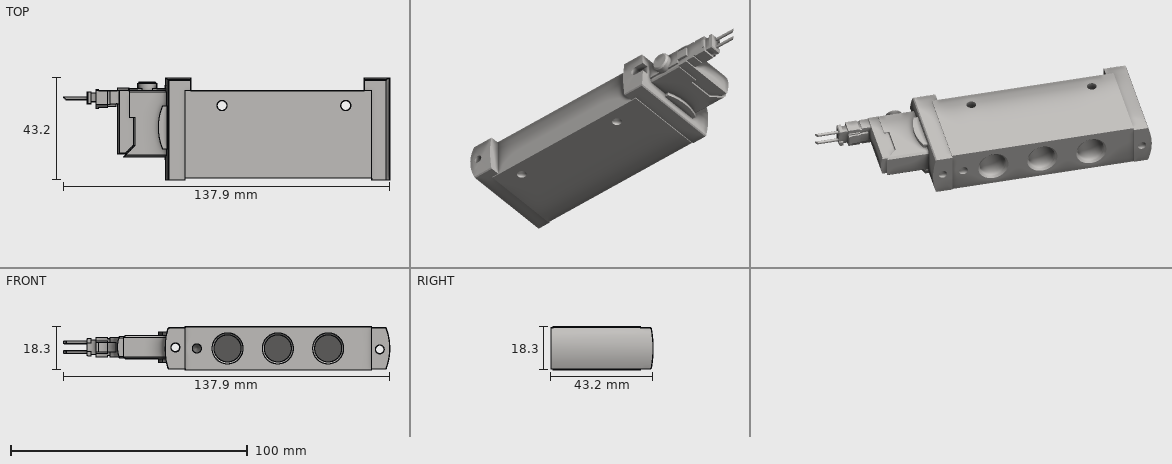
import cadquery as cq

total_length = 137.9
total_depth = 43.2

body_start = 51.5
body_end = 130.2
body_front = 0.8
body_back = 37.8
body_height = 18.3
port_diameter = 11.5
port_chamfer = 0.8
port_depth = 16.5
port_pitch = 21.2
middle_port_x = 90.6
mounting_hole_diameter = 4.1
mounting_hole_xs = (67.0, 119.3)
mounting_hole_y = 31.5
pilot_port_diameter = 3.9
pilot_port_depth = 5.5
pilot_port_x = 56.4
drill_point_height = 1.1

cap_start = 43.0
cap_height = 17.5
near_cap_bulge = 1.2
far_cap_bulge = 1.7
wing_bulge = 0.8
cap_chamfer = 0.4
wing_length = 10.9
cap_hole_diameter = 3.6
cap_hole_inset = 4.3
cap_hole_offset = 0.4
access_slot_width = 4.1
access_slot_floor = 40.0

pilot_z = 0.5
coil_front = 9.7
coil_height = 9.9
coil_chamfer = 0.8
coil_back_chamfer = 0.5
cover_start = 22.9
cover_front = 10.9
cover_height = 9.1
cover_bulge = 0.8
cover_chamfer = 0.5
cover_step_x = 28.0
cover_step_y = 26.3
cover_tongue_x = 30.2
cover_tongue_y = 14.5
tab_thickness = 1.5
tab_width = 18.2
tab_start = 40.1
tab_shoulder = 41.9
upper_tab_front = 13.1
lower_tab_front = 9.7
back_plate_start = 27.9
back_plate_height = 6.9
back_plate_thickness = 0.8
bump_end = 27.7
bump_height = 4.1
bump_thickness = 1.1
knob_diameter = 8.1
knob_x = 35.5
knob_top = 41.4
knob_chamfer = 0.7

wire_diameter = 1.3
wire_pitch = 4.1
wire_y = 34.5
flange_start = 9.9
flange_end = 11.7
flange_front = 32.1
flange_back = 37.2
flange_height = 7.5
flange_notch_height = 3.7
flange_chamfer = 0.4
neck_front = 33.0
neck_back = 36.8
neck_height = 6.2
housing_start = 13.8
housing_end = 18.8
housing_front = 31.9
housing_back = 37.8
housing_height = 8.3
gap_height = 7.2
plug_start = 19.7
shelf_front = 31.3
shelf_height = 5.1
latch_front = 30.6
latch_height = 4.0
latch_tip_x = 22.3
latch_tip_front = 31.0
lip_length = 1.1
lip_front = 30.2
lip_back = 38.2


def box(x0, x1, y0, y1, height, z_middle=pilot_z):
    """Box between two X and two Y values, centred on z_middle."""
    block = cq.Workplane("XY").box(x1 - x0, y1 - y0, height)
    return block.translate(((x0 + x1) / 2, (y0 + y1) / 2, z_middle))


def cylinder_along_y(diameter, x, z, y0, y1):
    """Cylinder parallel to Y, from y0 to y1."""
    disc = cq.Workplane("XZ", origin=(x, y0, z)).circle(diameter / 2)
    return disc.extrude(y0 - y1)


def turned_about_y(x, y, radius_depth_points):
    """Solid of revolution about a line parallel to Y, starting on the axis at (x, y)."""
    half_outline = cq.Workplane("XY", origin=(x, y, 0)).polyline([(0, 0), *radius_depth_points]).close()
    return half_outline.revolve(360, (0, 0), (0, 1))


def crowned_profile(plane, flat, crown, height, bulge):
    """Outline with three straight sides and one side that bulges out to `crown`."""
    shoulder = crown - bulge if crown > flat else crown + bulge
    top = height / 2
    return (
        cq.Workplane(plane)
        .moveTo(flat, -top)
        .lineTo(shoulder, -top)
        .threePointArc((crown, 0), (shoulder, top))
        .lineTo(flat, top)
        .close()
    )


def make_body():
    body = box(body_start, body_end, body_front, body_back, body_height, 0)
    for step in (-1, 0, 1):
        body = body.cut(make_port(middle_port_x + step * port_pitch))
    for x in mounting_hole_xs:
        hole = cq.Workplane("XY").center(x, mounting_hole_y).circle(mounting_hole_diameter / 2)
        body = body.cut(hole.extrude(body_height, both=True))
    return body.cut(make_pilot_port())


def make_port(x):
    """Round blind port with a chamfered mouth."""
    radius = port_diameter / 2
    return turned_about_y(x, body_front, [
        (radius + port_chamfer, 0),
        (radius, port_chamfer),
        (radius, port_depth),
        (0, port_depth),
    ])


def make_pilot_port():
    """Small blind hole ending in a drill point."""
    radius = pilot_port_diameter / 2
    return turned_about_y(pilot_port_x, body_front, [
        (radius, 0),
        (radius, pilot_port_depth),
        (0, pilot_port_depth + drill_point_height),
    ])


def make_end_cap(outer_x, body_face_x, inward, hole_z, bulge, chamfered):
    """End cap with a bulging outer face and a wing that reaches over the body's back."""
    wing_end = outer_x + inward * wing_length
    end_shape = crowned_profile("XZ", wing_end, outer_x, cap_height, bulge)
    back_shape = crowned_profile("YZ", 0, total_depth, cap_height, wing_bulge)
    back_bar = back_shape.extrude(total_length).edges("|X").edges(">Y").chamfer(cap_chamfer)
    end_bar = end_shape.extrude(-total_depth)
    if chamfered:
        outermost = "<X" if inward > 0 else ">X"
        end_bar = end_bar.edges("|Y").edges(outermost).chamfer(cap_chamfer)
    cap = end_bar.intersect(back_bar)
    body_room = box(*sorted((body_face_x, wing_end)), 0, body_back, body_height, 0)
    hole_x = outer_x + inward * cap_hole_inset
    hole = cylinder_along_y(cap_hole_diameter, hole_x, hole_z, 0, total_depth)
    return cap.cut(body_room).cut(hole)


def make_access_slot():
    """Slot in the near wing's back, from the outer face to the cap hole, with a round end."""
    end_x = cap_start + cap_hole_inset
    straight = box(cap_start, end_x, access_slot_floor, total_depth, access_slot_width, cap_hole_offset)
    round_end = cylinder_along_y(access_slot_width, end_x, cap_hole_offset, access_slot_floor, total_depth)
    return straight.union(round_end)


def make_coil():
    coil = box(cover_start, cap_start + near_cap_bulge, coil_front, body_back, coil_height)
    coil = coil.faces("<Y").edges("|X").chamfer(coil_chamfer)
    coil = coil.faces(">Y").edges("|X").chamfer(coil_back_chamfer)
    return coil.cut(cover_outline(coil_front).extrude(coil_height, both=True))


def cover_outline(front):
    """Stepped outline, whose corner beside the tongue is cut at 45 degrees down to `front`."""
    corner_x = cover_tongue_x - (cover_tongue_y - front)
    return (
        cq.Workplane("XY", origin=(0, 0, pilot_z))
        .moveTo(cover_start, front)
        .lineTo(corner_x, front)
        .lineTo(cover_tongue_x, cover_tongue_y)
        .lineTo(cover_tongue_x, cover_step_y)
        .lineTo(cover_step_x, cover_step_y)
        .lineTo(cover_step_x, body_back)
        .lineTo(cover_start, body_back)
        .close()
    )


def make_cover():
    """Cover over the coil's free end, with a bulging end face."""
    top = cover_height / 2
    crown = (
        cq.Workplane("XZ", origin=(0, 0, pilot_z))
        .moveTo(cover_tongue_x, -top)
        .lineTo(cover_start + cover_bulge, -top)
        .threePointArc((cover_start, 0), (cover_start + cover_bulge, top))
        .lineTo(cover_tongue_x, top)
        .close()
        .extrude(-total_depth)
    )
    cover = cover_outline(cover_front).extrude(top, both=True)
    cover = cover.faces("<Y or >X or >(1,-1,0)").edges("#Z").chamfer(cover_chamfer)
    return cover.intersect(crown)


def make_tab(front, z0, z1):
    """Flat tab with a rounded free end, standing against the end cap."""
    outline = (
        cq.Workplane("XY", origin=(0, 0, z0))
        .moveTo(cap_start + near_cap_bulge, front)
        .lineTo(tab_shoulder, front)
        .threePointArc((tab_start, front + tab_width / 2), (tab_shoulder, front + tab_width))
        .lineTo(cap_start + near_cap_bulge, front + tab_width)
        .close()
    )
    return outline.extrude(z1 - z0)


def make_knob():
    knob = cylinder_along_y(knob_diameter, knob_x, pilot_z, body_back, knob_top)
    return knob.faces(">Y").chamfer(knob_chamfer)


def make_wire(z):
    """Round wire whose free end is cut at 45 degrees, longest at the back."""
    radius = wire_diameter / 2
    wire = cq.Workplane("YZ", origin=(0, wire_y, z)).circle(radius).extrude(flange_start)
    bevel = (
        cq.Workplane("XY", origin=(0, wire_y, z))
        .polyline([(0, radius), (0, -radius), (wire_diameter, -radius)])
        .close()
        .extrude(wire_diameter, both=True)
    )
    return wire.cut(bevel)


def make_connector():
    flange = box(flange_start, flange_end, flange_front, flange_back, flange_height)
    flange = flange.faces("<X").edges("|Y").chamfer(flange_chamfer)
    notch = box(flange_start, flange_end, flange_front, neck_front, flange_notch_height)
    neck = box(flange_end, housing_start, neck_front, neck_back, neck_height)
    housing = box(housing_start, housing_end, housing_front, housing_back, housing_height)
    lip = box(housing_start, housing_start + lip_length, lip_front, lip_back, latch_height)
    gap = box(housing_end, plug_start, housing_front, housing_back, gap_height)
    plug = box(plug_start, cover_step_x, flange_front, housing_back, housing_height)
    shelf = box(housing_start, housing_end, shelf_front, housing_back, shelf_height)
    latch = box(housing_start, housing_end, latch_front, housing_back, latch_height)
    latch_tip = box(housing_end, latch_tip_x, latch_tip_front, housing_back, latch_height)
    connector = flange.cut(notch)
    for piece in (neck, housing, shelf, lip, latch, gap, plug, latch_tip):
        connector = connector.union(piece)
    for side in (-1, 1):
        connector = connector.union(make_wire(pilot_z + side * wire_pitch / 2))
    return connector


def make_pilot_valve(end_cap):
    """Coil, cover, connector and small parts as one solid, trimmed to the end cap's face."""
    coil_top = pilot_z + coil_height / 2
    coil_bottom = pilot_z - coil_height / 2
    cap_side = cap_start + near_cap_bulge
    plate_back = body_back + back_plate_thickness
    bump_back = body_back + bump_thickness
    pieces = (
        make_cover(),
        make_tab(upper_tab_front, coil_top, coil_top + tab_thickness),
        make_tab(lower_tab_front, coil_bottom - tab_thickness, coil_bottom),
        box(back_plate_start, cap_side, body_back, plate_back, back_plate_height),
        box(cover_start, bump_end, body_back, bump_back, bump_height),
        make_knob(),
        make_connector(),
    )
    pilot = make_coil()
    for piece in pieces:
        pilot = pilot.union(piece)
    return pilot.cut(end_cap)


body = make_body()
near_cap = make_end_cap(cap_start, body_start, 1, cap_hole_offset, near_cap_bulge, True)
near_cap = near_cap.cut(make_access_slot())
far_cap = make_end_cap(total_length, body_end, -1, -cap_hole_offset, far_cap_bulge, False)
pilot_valve = make_pilot_valve(near_cap)

result = cq.Compound.makeCompound([body.val(), near_cap.val(), far_cap.val(), pilot_valve.val()])